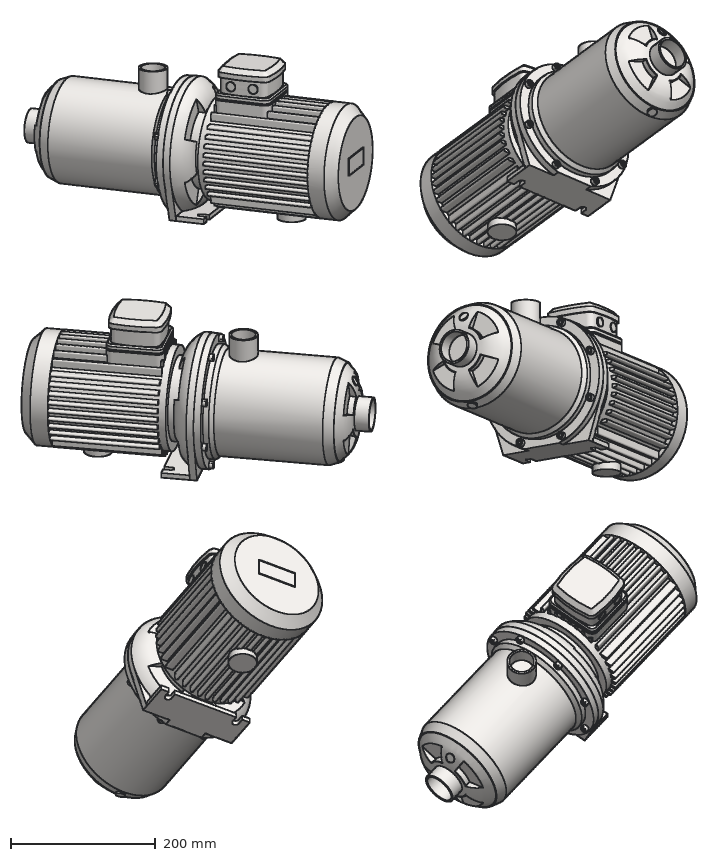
import cadquery as cq
import math


DOME_FACE_X = 20.2
DOME_EDGE_X = 40.0
SHELL_X = 54.5
SHELL_END_X = 207.7
NECK_X = 214.0
FLANGE_X = 222.0
BRACKET_X = 232.5
BRACKET_END_X = 242.5
BELL_END_X = 267.5
COLLAR_X = 275.5
FINS_X = 286.5
COWL_X = 440.5
COWL_CHAMFER_X = 465.0
COWL_END_X = 480.5
LENGTH = 482.0

NOZZLE_R = 24.0
NOZZLE_BORE_R = 21.0
DOME_R = 68.0
SHOULDER_R = 69.5
SHELL_R = 74.95
NECK_R = 80.0
FLANGE_R = 95.0
FRONT_FLANGE_R = 94.5
LANTERN_R = 60.0
COLLAR_R = 74.0
MOTOR_R = 81.5
COWL_END_R = 66.5

BASE_Z = -90.0

DOME_BULGE = (28.5, 56.0)
DOME_WINDOW_X = 29.5
DOME_WINDOW_R = 32.0
DOME_WINDOW_ANGLE = 50.0

BELL_INNER_R = 58.0
BELL_BULGE = (259.0, 81.0)
BELL_WINDOW_X = 257.5
BELL_WINDOW_ANGLE = 45.0

PORT_X = 181.0
PORT_R = 20.0
PORT_BORE_R = 17.0
PORT_TOP_Z = 104.5
PORT_BORE_DEPTH = 22.5

PLUG_R = 6.7
PLUG_LENGTH = 7.0
VENT_FACE = (23.5, 49.0)
VENT_LEAN = 30.0
DRAIN_FACE = (46.0, -74.0)
DRAIN_LEAN = -69.0

FOOT_HALF_WIDTH = 70.5
FOOT_END_X = 283.0
FOOT_THICKNESS = 7.0
SLOT_Y = 53.5
SLOT_WIDTH = 9.5
SLOT_CENTRE_X = 273.0

FIN_PITCH = 12.0
FIN_WIDTH = 5.0
FINS_PER_SIDE = 9

PAD_X = 386.0
PAD_R = 20.0
PAD_FIN_OVERLAP = 1.0

PLATE_WIDTH = 57.5
PLATE_HEIGHT = 24.5
PLATE_Z = 2.5

BOX_X = 327.5
BOX_CORNER_R = 9.5
BOX_BASE_HALF_X = 40.5
BOX_BASE_HALF_Y = 41.5
BOX_BASE_TOP_Z = 91.0
BOX_BASE_CHAMFER = 2.5
BOX_GROOVE_Z = 81.5
BOX_GROOVE_WIDTH = 2.5
BOX_GROOVE_DEPTH = 0.5
BOX_HALF_X = 37.5
BOX_HALF_Y = 38.5
BOX_BULGE = 4.0
LID_HALF = 40.5
LID_Z = 113.8
LID_TOP_Z = 128.5
LID_CHAMFER = 7.0
KNOCKOUT_SPACING = 33.0
KNOCKOUT_Z = 102.5
KNOCKOUT_R = 6.7
KNOCKOUT_HEIGHT = 0.5

BOLT_COUNT = 8
BOLT_CIRCLE_R = 87.5
BOLT_HEAD_R = 5.05
BOLT_HEAD_HEIGHT = 6.0
SOCKET_WIDTH = 6.0
SOCKET_DEPTH = 3.0


def disc(x_start, x_end, radius):
    """Cylinder on the shaft axis."""
    return cq.Workplane("YZ", origin=(x_start, 0, 0)).circle(radius).extrude(x_end - x_start)


def upright(x, z_bottom, z_top, radius):
    """Vertical cylinder on the plane y = 0."""
    return cq.Workplane("XY", origin=(x, 0, z_bottom)).circle(radius).extrude(z_top - z_bottom)


def sector(x_start, x_end, angle):
    """Wedge with its apex on the shaft axis, centred on +Y and reaching beyond the flange."""
    reach = 2 * FLANGE_R
    half = math.radians(angle / 2)
    tip_y = reach * math.cos(half)
    tip_z = reach * math.sin(half)
    return (
        cq.Workplane("YZ", origin=(x_start, 0, 0))
        .polyline([(0, 0), (tip_y, -tip_z), (tip_y, tip_z)])
        .close()
        .extrude(x_end - x_start)
    )


def diagonal_windows(x_start, x_end, inner_radius, angle):
    """Four cutters on the diagonals, each outside the inner radius."""
    core = disc(x_start, x_end, inner_radius)
    wedge = sector(x_start, x_end, angle).cut(core)
    cutters = cq.Workplane("XY")
    for quarter in range(4):
        turn = 45 + 90 * quarter
        cutters = cutters.add(wedge.rotate((0, 0, 0), (1, 0, 0), turn))
    return cutters


def turned_body():
    """All the round parts from the suction nozzle to the motor cowl."""
    return (
        cq.Workplane("XY")
        .moveTo(0, 0)
        .lineTo(0, NOZZLE_R)
        .lineTo(DOME_FACE_X, NOZZLE_R)
        .threePointArc(DOME_BULGE, (DOME_EDGE_X, DOME_R))
        .lineTo(DOME_EDGE_X, SHOULDER_R)
        .lineTo(SHELL_X, SHELL_R)
        .lineTo(SHELL_END_X, SHELL_R)
        .lineTo(NECK_X, NECK_R)
        .lineTo(FLANGE_X, NECK_R)
        .lineTo(FLANGE_X, FRONT_FLANGE_R)
        .lineTo(BRACKET_X, FRONT_FLANGE_R)
        .lineTo(BRACKET_X, LANTERN_R)
        .lineTo(COLLAR_X, LANTERN_R)
        .lineTo(COLLAR_X, COLLAR_R)
        .lineTo(COWL_X, COLLAR_R)
        .lineTo(COWL_X, MOTOR_R)
        .lineTo(COWL_CHAMFER_X, MOTOR_R)
        .lineTo(COWL_END_X, COWL_END_R)
        .lineTo(COWL_END_X, 0)
        .close()
        .revolve(360, (0, 0, 0), (1, 0, 0))
    )


def bell():
    """Bracket flange with the domed ring behind it, cut away on the diagonals so that four ribs remain."""
    ring = (
        cq.Workplane("XY")
        .moveTo(BRACKET_X, BELL_INNER_R)
        .lineTo(BRACKET_X, FLANGE_R)
        .lineTo(BRACKET_END_X, FLANGE_R)
        .threePointArc(BELL_BULGE, (BELL_END_X, BELL_INNER_R))
        .close()
        .revolve(360, (0, 0, 0), (1, 0, 0))
    )
    windows = diagonal_windows(BELL_WINDOW_X, BELL_END_X, BELL_INNER_R / 2, BELL_WINDOW_ANGLE)
    return cut_each(ring, windows)


def discharge_port():
    return upright(PORT_X, 0, PORT_TOP_Z, PORT_R)


def port_bore():
    return upright(PORT_X, PORT_TOP_Z - PORT_BORE_DEPTH, PORT_TOP_Z, PORT_BORE_R)


def plug(face, lean):
    """Round plug whose outer face is centred at `face` and whose axis leans from -X."""
    face_x, face_z = face
    angle = math.radians(lean)
    inward = cq.Vector(math.cos(angle), 0, -math.sin(angle))
    return cq.Workplane(cq.Solid.makeCylinder(PLUG_R, PLUG_LENGTH, cq.Vector(face_x, 0, face_z), inward))


def foot_plate():
    """Upright bracket plate, its sides tangent to the flange, plus the slotted foot."""
    corner_distance = math.hypot(FOOT_HALF_WIDTH, BASE_Z)
    tangent_angle = math.atan2(BASE_Z, FOOT_HALF_WIDTH) + math.acos(FLANGE_R / corner_distance)
    tangent_y = FLANGE_R * math.cos(tangent_angle)
    tangent_z = FLANGE_R * math.sin(tangent_angle)
    upright_plate = (
        cq.Workplane("YZ", origin=(BRACKET_X, 0, 0))
        .moveTo(-FOOT_HALF_WIDTH, BASE_Z)
        .lineTo(FOOT_HALF_WIDTH, BASE_Z)
        .lineTo(tangent_y, tangent_z)
        .lineTo(-tangent_y, tangent_z)
        .close()
        .extrude(BRACKET_END_X - BRACKET_X)
    )
    foot = cq.Workplane("XY").box(
        FOOT_END_X - BRACKET_X, 2 * FOOT_HALF_WIDTH, FOOT_THICKNESS, centered=(False, True, False)
    )
    foot = foot.translate((BRACKET_X, 0, BASE_Z))
    slot_length = 2 * (FOOT_END_X - SLOT_CENTRE_X) + SLOT_WIDTH
    slots = (
        cq.Workplane("XY", origin=(FOOT_END_X, 0, BASE_Z))
        .pushPoints([(0, -SLOT_Y), (0, SLOT_Y)])
        .slot2D(slot_length, SLOT_WIDTH)
        .extrude(FOOT_THICKNESS)
    )
    return upright_plate.union(foot.cut(slots))


def motor_fins():
    """Parallel round-tipped fins on the top, the bottom and both sides of the motor."""
    tip_r = FIN_WIDTH / 2
    length = COWL_X - FINS_X
    fins = cq.Workplane("XY")
    for index in range(FINS_PER_SIDE):
        offset = FIN_PITCH * (index - (FINS_PER_SIDE - 1) / 2)
        tip_height = math.sqrt(MOTOR_R**2 - offset**2) - tip_r
        fin = (
            cq.Workplane("YZ", origin=(FINS_X, 0, 0))
            .moveTo(offset - tip_r, 0)
            .lineTo(offset - tip_r, tip_height)
            .threePointArc((offset, tip_height + tip_r), (offset + tip_r, tip_height))
            .lineTo(offset + tip_r, 0)
            .close()
            .extrude(length)
        )
        for quarter in range(4):
            fins = fins.add(fin.rotate((0, 0, 0), (1, 0, 0), 90 * quarter))
    return fins


def support_pad():
    """Round pad under the motor, its top hollowed to sit just over the fin tips."""
    hollow = disc(FINS_X, COWL_X, MOTOR_R - PAD_FIN_OVERLAP)
    return upright(PAD_X, BASE_Z, 0, PAD_R).cut(hollow)


def name_plate():
    return cq.Workplane("YZ", origin=(COWL_END_X, 0, PLATE_Z)).rect(PLATE_WIDTH, PLATE_HEIGHT).extrude(LENGTH - COWL_END_X)


def rounded_block(half_x, half_y, z_bottom, z_top, corner_r):
    """Rectangular block with rounded upright corners."""
    return (
        cq.Workplane("XY", origin=(BOX_X, 0, z_bottom))
        .rect(2 * half_x, 2 * half_y)
        .extrude(z_top - z_bottom)
        .edges("|Z")
        .fillet(corner_r)
    )


def bulged_block(half_x, half_y, z_bottom, z_top):
    """Block with bulged sides and rounded corners; the half sizes are to the middle of a side."""
    corner_x = half_x - BOX_BULGE
    corner_y = half_y - BOX_BULGE
    return (
        cq.Workplane("XY", origin=(BOX_X, 0, z_bottom))
        .moveTo(-corner_x, -corner_y)
        .threePointArc((0, -half_y), (corner_x, -corner_y))
        .threePointArc((half_x, 0), (corner_x, corner_y))
        .threePointArc((0, half_y), (-corner_x, corner_y))
        .threePointArc((-half_x, 0), (-corner_x, -corner_y))
        .close()
        .extrude(z_top - z_bottom)
        .edges("|Z")
        .fillet(BOX_CORNER_R)
    )


def box_base():
    """Base grown out of the motor, with a bevelled top and a shallow groove around it."""
    base = rounded_block(BOX_BASE_HALF_X, BOX_BASE_HALF_Y, 0, BOX_BASE_TOP_Z, BOX_CORNER_R)
    base = base.faces(">Z").chamfer(BOX_BASE_CHAMFER)
    groove_top = BOX_GROOVE_Z + BOX_GROOVE_WIDTH
    outside = rounded_block(2 * BOX_BASE_HALF_X, 2 * BOX_BASE_HALF_Y, BOX_GROOVE_Z, groove_top, BOX_CORNER_R)
    core = rounded_block(
        BOX_BASE_HALF_X - BOX_GROOVE_DEPTH,
        BOX_BASE_HALF_Y - BOX_GROOVE_DEPTH,
        BOX_GROOVE_Z,
        groove_top,
        BOX_CORNER_R - BOX_GROOVE_DEPTH,
    )
    return base.cut(outside.cut(core))


def terminal_box():
    """Grooved base, the box with its cable knockouts, and the bevelled lid."""
    walls = bulged_block(BOX_HALF_X, BOX_HALF_Y, BOX_BASE_TOP_Z, LID_Z)
    lid = bulged_block(LID_HALF, LID_HALF, LID_Z, LID_TOP_Z).faces(">Z").chamfer(LID_CHAMFER)
    knockouts = (
        cq.Workplane("XZ", origin=(BOX_X, 0, KNOCKOUT_Z))
        .pushPoints([(-KNOCKOUT_SPACING / 2, 0), (KNOCKOUT_SPACING / 2, 0)])
        .circle(KNOCKOUT_R)
        .extrude(BOX_HALF_Y + KNOCKOUT_HEIGHT)
    )
    return box_base().union(walls).union(lid).union(knockouts)


def union_each(body, pieces):
    for piece in pieces.vals():
        body = body.union(cq.Workplane(piece))
    return body


def cut_each(body, cutters):
    for cutter in cutters.vals():
        body = body.cut(cq.Workplane(cutter))
    return body


def pump_body():
    body = turned_body()
    body = body.union(plug(VENT_FACE, VENT_LEAN)).union(plug(DRAIN_FACE, DRAIN_LEAN))
    body = body.cut(disc(0, DOME_FACE_X, NOZZLE_BORE_R))
    body = cut_each(body, diagonal_windows(DOME_FACE_X, DOME_WINDOW_X, DOME_WINDOW_R, DOME_WINDOW_ANGLE))
    body = body.union(bell())
    body = body.union(foot_plate())
    body = body.union(discharge_port()).cut(port_bore())
    body = union_each(body, motor_fins())
    body = body.union(support_pad()).union(name_plate()).union(terminal_box())
    below_base = cq.Workplane("XY").box(LENGTH, 2 * FLANGE_R, FLANGE_R, centered=(False, True, False))
    return body.cut(below_base.translate((0, 0, BASE_Z - FLANGE_R)))


def flange_bolt(index):
    """Socket-head bolt head seated on the front face of the flange."""
    angle = math.radians((index + 0.5) * 360 / BOLT_COUNT)
    centre_y = BOLT_CIRCLE_R * math.cos(angle)
    centre_z = BOLT_CIRCLE_R * math.sin(angle)
    head_x = FLANGE_X - BOLT_HEAD_HEIGHT
    head = cq.Workplane("YZ", origin=(head_x, centre_y, centre_z)).circle(BOLT_HEAD_R).extrude(BOLT_HEAD_HEIGHT)
    socket = (
        cq.Workplane("YZ", origin=(head_x, centre_y, centre_z))
        .polygon(6, SOCKET_WIDTH / math.cos(math.pi / 6))
        .extrude(SOCKET_DEPTH)
    )
    return head.cut(socket)


pump = pump_body()
bolts = [flange_bolt(index) for index in range(BOLT_COUNT)]

result = cq.Compound.makeCompound([pump.val(), *[bolt.val() for bolt in bolts]])